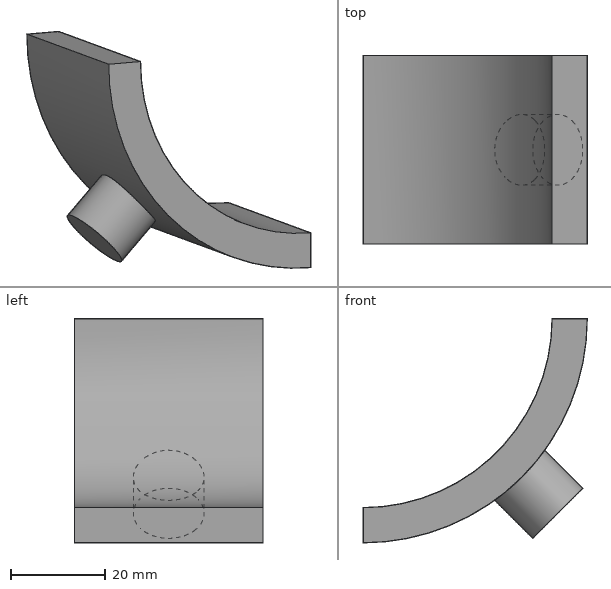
import cadquery as cq
import math

inner_radius = 40.0
wall = 7.5
outer_radius = inner_radius + wall
width = 40.0

boss_diameter = 15.0
boss_end_radius = 58.3
boss_start_radius = inner_radius + wall / 2

DIAGONAL = math.sqrt(0.5)


def on_diagonal(radius):
    """X and Z of the point midway along the quarter arc of the given radius."""
    return radius * DIAGONAL, -radius * DIAGONAL


def make_shell():
    return (
        cq.Workplane("XZ")
        .moveTo(0, -inner_radius)
        .threePointArc(on_diagonal(inner_radius), (inner_radius, 0))
        .lineTo(outer_radius, 0)
        .threePointArc(on_diagonal(outer_radius), (0, -outer_radius))
        .close()
        .extrude(width / 2, both=True)
    )


def make_boss():
    start_x, start_z = on_diagonal(boss_start_radius)
    boss_plane = cq.Plane(
        origin=(start_x, 0, start_z), xDir=(1, 0, 1), normal=(1, 0, -1)
    )
    return (
        cq.Workplane(boss_plane)
        .circle(boss_diameter / 2)
        .extrude(boss_end_radius - boss_start_radius)
    )


result = make_shell().union(make_boss())